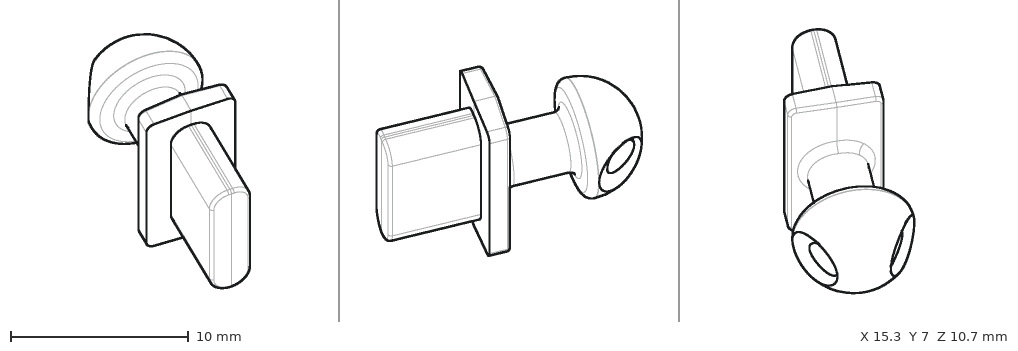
import cadquery as cq
import math

total_length = 15.25

head_diameter = 7.0
head_radius = head_diameter / 2
rim_start = head_radius
rim_width = 0.49
back_face_angle = 5.0
neck_radius = 1.75
seam_angle = 45.0

hole_diameter = 2.0
hole_x = head_radius / 2
hole_chamfer = 0.75

ridge_angle = 3.0
flange_front = 8.34
flange_back = 9.78
flange_width = 5.5
flange_height = 10.7
flange_back_angle = 1.0
blade_width = 2.5
blade_height = 8.3
blade_corner_radius = 1.15
edge_radius = 0.2

blend_radius = 0.5

edge_margin = 0.02


def ridge_drop(width, angle):
    """Fall of a ridged face from its middle to its edge."""
    return width / 2 * math.tan(math.radians(angle))


def ridged_outline(width, low, high, low_angle, high_angle):
    """Hexagon points (y, position) of a bar whose low and high faces are ridged at y = 0."""
    half = width / 2
    low_edge = low + ridge_drop(width, low_angle)
    high_edge = high - ridge_drop(width, high_angle)
    return [
        (0, low),
        (half, low_edge),
        (half, high_edge),
        (0, high),
        (-half, high_edge),
        (-half, low_edge),
    ]


def ridged_block(width, height, front, back, front_angle, back_angle, corner_radius):
    """Block ridged at both X ends and both Z ends, with its X edges rounded."""
    plan = [(x, y) for y, x in ridged_outline(width, front, back, front_angle, back_angle)]
    end = ridged_outline(width, -height / 2, height / 2, ridge_angle, ridge_angle)
    along_z = cq.Workplane("XY").polyline(plan).close().extrude(height / 2, both=True)
    along_x = (
        cq.Workplane("YZ")
        .polyline(end)
        .close()
        .extrude(total_length)
        .edges("|X")
        .edges("<Y or >Y")
        .fillet(corner_radius)
    )
    return along_z.intersect(along_x)


def edges_between(solid, low_x, high_x):
    """Edges lying wholly between two X positions."""
    slab = cq.selectors.BoxSelector(
        (low_x, -total_length, -total_length),
        (high_x, total_length, total_length),
        boundingbox=True,
    )
    return solid.edges(slab)


def make_head_and_neck():
    """Revolved head and neck, reaching into the flange."""
    rim_end = rim_start + rim_width
    neck_start = rim_end + (head_radius - neck_radius) * math.tan(math.radians(back_face_angle))
    neck_end = (flange_front + flange_back) / 2
    diagonal = head_radius * math.sqrt(0.5)
    body = (
        cq.Workplane("XZ")
        .moveTo(0, 0)
        .threePointArc((head_radius - diagonal, diagonal), (rim_start, head_radius))
        .lineTo(rim_end, head_radius)
        .lineTo(neck_start, neck_radius)
        .lineTo(neck_end, neck_radius)
        .lineTo(neck_end, 0)
        .close()
        .revolve(360, (0, 0, 0), (1, 0, 0))
    )
    rim = edges_between(body, rim_end - edge_margin, rim_end + edge_margin)
    body = rim.fillet(blend_radius)
    neck_root = edges_between(body, neck_start - edge_margin, neck_start + edge_margin)
    return neck_root.fillet(blend_radius).rotate((0, 0, 0), (1, 0, 0), seam_angle)


def cut_cross_hole(head):
    """Hole through the head along Y, with a wide chamfer where it leaves the sphere."""
    hole = (
        cq.Workplane("XZ")
        .center(hole_x, 0)
        .circle(hole_diameter / 2)
        .extrude(head_radius, both=True)
    )
    hole_left = hole_x - hole_diameter / 2
    hole_right = hole_x + hole_diameter / 2
    drilled = head.cut(hole)
    mouths = edges_between(drilled, hole_left - edge_margin, hole_right + edge_margin)
    return mouths.edges("%BSPLINE").chamfer(hole_chamfer)


def make_flange():
    """Ridged flange with its front outline rounded; the ridge line itself stays sharp."""
    flange = ridged_block(
        flange_width,
        flange_height,
        flange_front,
        flange_back,
        ridge_angle,
        flange_back_angle,
        blend_radius,
    )
    deepest_front_edge = flange_front + ridge_drop(flange_width, ridge_angle)
    front_edges = edges_between(flange, flange_front, deepest_front_edge + edge_margin)
    return front_edges.edges("not <X").fillet(edge_radius)


def make_blade():
    """Flat blade with rounded long sides and a rounded, ridged end."""
    blade = ridged_block(
        blade_width,
        blade_height,
        (flange_front + flange_back) / 2,
        total_length,
        0,
        ridge_angle,
        blade_corner_radius,
    )
    shallowest_end_edge = total_length - ridge_drop(blade_width, ridge_angle)
    end_edges = edges_between(blade, shallowest_end_edge - edge_margin, total_length + edge_margin)
    return end_edges.edges("not >X").fillet(edge_radius)


head = cut_cross_hole(make_head_and_neck())
body = head.union(make_flange())

neck_foot_depth = flange_front + ridge_drop(2 * neck_radius, ridge_angle)
neck_foot = edges_between(body, flange_front - edge_margin, neck_foot_depth + edge_margin)
body = neck_foot.edges("%ELLIPSE").fillet(blend_radius)

result = body.union(make_blade())